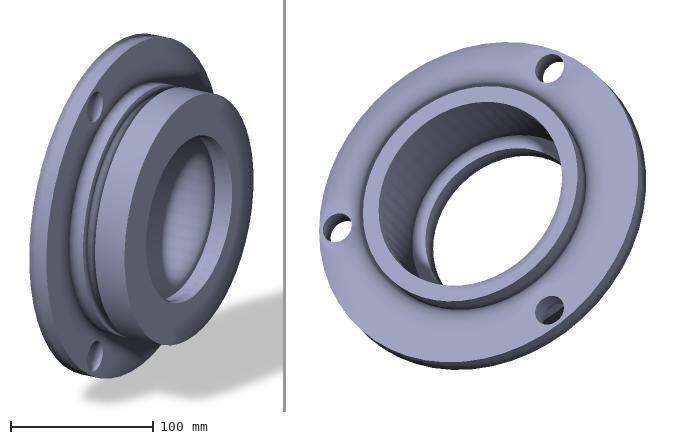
import cadquery as cq

total_length = 74.0
spigot_length = 15.1
flange_thickness = 14.0
groove_start = 40.3
groove_width = 9.8
counterbore_depth = 60.0

flange_diameter = 244.0
spigot_diameter = 164.0
barrel_diameter = 180.0
groove_diameter = 168.0
counterbore_diameter = 140.0
bore_diameter = 120.0

bolt_hole_diameter = 22.0
bolt_circle_radius = 108.0
bolt_hole_count = 3

flange_end = spigot_length + flange_thickness
groove_end = groove_start + groove_width


def cylinder(diameter, start, end):
    """Solid cylinder on the X axis between two X positions."""
    return cq.Workplane("YZ", origin=(start, 0, 0)).circle(diameter / 2).extrude(end - start)


body = cylinder(spigot_diameter, 0, spigot_length)
body = body.union(cylinder(flange_diameter, spigot_length, flange_end))
body = body.union(cylinder(barrel_diameter, flange_end, groove_start))
body = body.union(cylinder(groove_diameter, groove_start, groove_end))
body = body.union(cylinder(barrel_diameter, groove_end, total_length))

body = body.cut(cylinder(bore_diameter, 0, total_length))
body = body.cut(cylinder(counterbore_diameter, 0, counterbore_depth))

bolt_holes = (
    cq.Workplane("YZ", origin=(spigot_length, 0, 0))
    .polarArray(bolt_circle_radius, 0, 360, bolt_hole_count)
    .circle(bolt_hole_diameter / 2)
    .extrude(flange_thickness)
)

result = body.cut(bolt_holes)